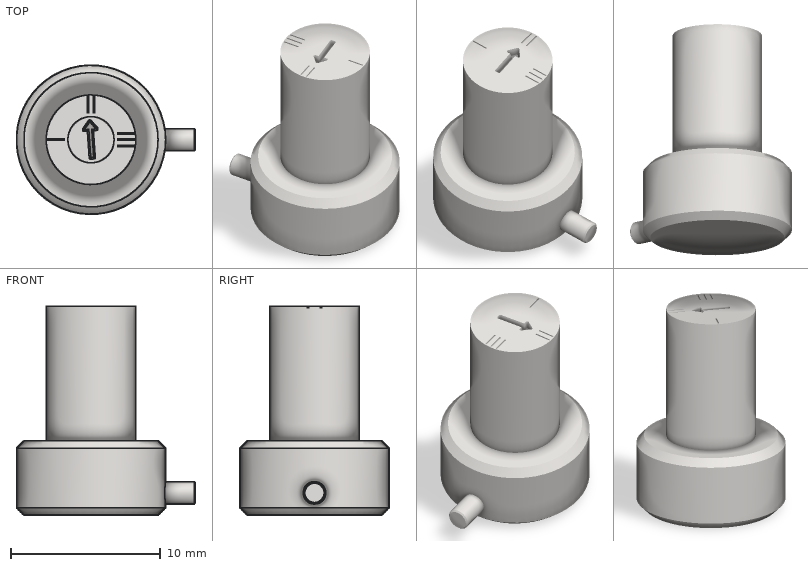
import cadquery as cq

total_height = 14.0
base_diameter = 10.0
base_height = 5.0
base_chamfer = 0.5
neck_diameter = 6.0

rotor_diameter = 3.1
arrow_angle = 4.0
arrow_tip = 1.22
arrow_tail = -1.19
arrow_head_base = 0.7
arrow_head_half_width = 0.4
arrow_shaft_half_width = 0.1
arrow_depth = 0.5
arrow_taper = 12.0

mark_width = 0.1
mark_length = 1.1
mark_depth = 0.1
mark_spacing = 0.42
mark_inner_radius = 1.8
mark_groups = {0: 3, 90: 2, 180: 1}

pin_diameter = 1.5
pin_height = 1.5
pin_projection = 2.0
pin_seat_depth = 2.0
pin_chamfer = 0.1
pin_start = base_diameter / 2 - pin_seat_depth
pin_length = pin_seat_depth + pin_projection


def make_rotor_blank():
    return cq.Workplane("XY").circle(rotor_diameter / 2).extrude(total_height)


def make_pin_blank():
    return (
        cq.Workplane("YZ", origin=(pin_start, 0, pin_height))
        .circle(pin_diameter / 2)
        .extrude(pin_length)
    )


def make_marks(count, direction):
    """Parallel radial cutters, centred on the given direction."""
    first_offset = -(count - 1) * mark_spacing / 2
    centres = [
        (mark_inner_radius + mark_length / 2, first_offset + index * mark_spacing)
        for index in range(count)
    ]
    return (
        cq.Workplane("XY", origin=(0, 0, total_height))
        .pushPoints(centres)
        .rect(mark_length, mark_width)
        .extrude(-mark_depth)
        .rotate((0, 0, 0), (0, 0, 1), direction)
    )


def make_housing():
    base = cq.Workplane("XY").circle(base_diameter / 2).extrude(base_height)
    base = base.faces("<Z or >Z").edges().chamfer(base_chamfer)
    neck = (
        cq.Workplane("XY", origin=(0, 0, base_height))
        .circle(neck_diameter / 2)
        .extrude(total_height - base_height)
    )
    body = base.union(neck).cut(make_rotor_blank()).cut(make_pin_blank())
    for direction, count in mark_groups.items():
        body = body.cut(make_marks(count, direction))
    return body


def make_arrow():
    """Arrow cutter drawn at its floor, with walls that flare outward to the top."""
    outline = [
        (0, arrow_tip),
        (-arrow_head_half_width, arrow_head_base),
        (-arrow_shaft_half_width, arrow_head_base),
        (-arrow_shaft_half_width, arrow_tail),
        (arrow_shaft_half_width, arrow_tail),
        (arrow_shaft_half_width, arrow_head_base),
        (arrow_head_half_width, arrow_head_base),
    ]
    return (
        cq.Workplane("XY", origin=(0, 0, total_height - arrow_depth))
        .polyline(outline)
        .close()
        .extrude(arrow_depth, taper=-arrow_taper)
        .rotate((0, 0, 0), (0, 0, 1), arrow_angle)
    )


def make_rotor():
    return make_rotor_blank().cut(make_arrow())


def make_pin():
    return make_pin_blank().faces(">X").edges().chamfer(pin_chamfer)


housing = make_housing()
rotor = make_rotor()
pin = make_pin()

result = cq.Compound.makeCompound([housing.val(), rotor.val(), pin.val()])